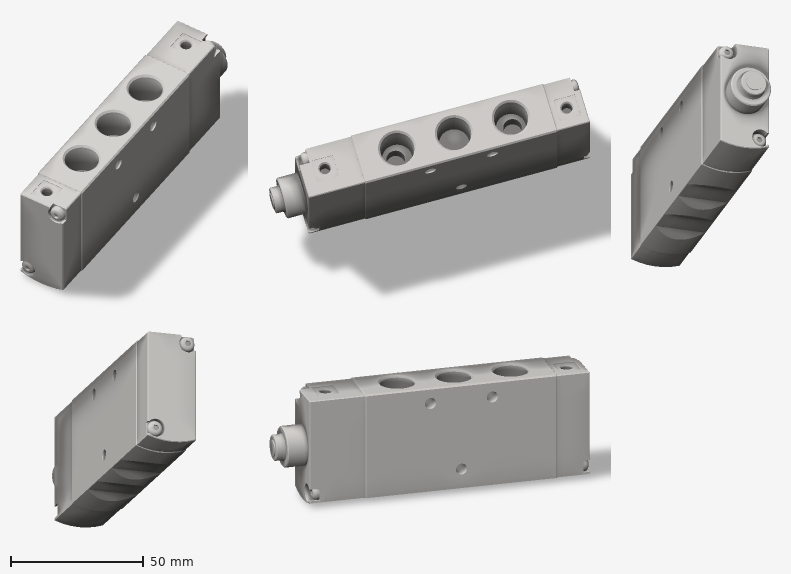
import cadquery as cq
import math


width = 20.0
height = 43.72
housing_length = 75.8
belly_sag = 1.95
edge_chamfer = 0.6
end_chamfer = 0.3

port_pitch = 22.4
port_bore = 13.0
port_floor_bore = 11.5
port_mouth = 14.5
port_depth = 12.0
passage_bore = 7.0
passage_depth = 6.0
passage_offset = 0.6

mount_bore = 4.4
mount_spacing = 24.4
upper_mount_z = -6.2
lower_mount_z = -34.1

relief_offset = 13.9
relief_depth = 1.85
relief_floor_length = 10.8
relief_mouth_length = 21.4

cover_inset = 0.35
cover_belly_sag = 1.7
cover_chamfer = 0.35
cover_face_chamfer = 0.3
rear_cover_length = 22.0
front_cover_length = 12.85

pilot_bore = 4.13
pilot_mouth = 5.2
pilot_depth = 6.0
pad_size = 8.6
pad_depth = 0.2
rear_pilot_from_end = 9.1
front_pilot_from_end = 6.85
rear_pilot_x = 0.0
front_pilot_x = -1.85

screw_x = 6.4
upper_screw_z = -3.6
lower_screw_z = -38.4
screw_recess_bore = 7.0
side_gap_height = 4.8
corner_margin = 2.6
recess_reach = 5.0
head_diameter = 5.93
head_height = 2.4
head_rim = 0.9
head_flat = 3.0
socket_size = 2.46
socket_depth = 1.0
rear_recess_depth = 4.1
front_recess_depth = head_height

connector_z = -21.35
collar_diameter = 15.9
collar_length = 8.0
collar_chamfer = 0.4
neck_diameter = 10.0
neck_root_diameter = 10.7
neck_root_length = 0.9
neck_length = 3.55
neck_chamfer = 0.3
tip_diameter = 6.3
overall_length = 122.6

housing_end = housing_length / 2
rear_face = housing_end + rear_cover_length
front_face = -housing_end - front_cover_length
tip_end = front_face + overall_length


def belly_block(inset, sag, chamfer, y_start, y_end):
    """Block along Y with a curved underside, its outline drawn in by the inset."""
    half = width / 2 - inset
    top = -inset
    bottom = -height + inset
    shoulder = bottom + sag
    outline = (
        cq.Workplane("XZ", origin=(0, y_end, 0))
        .moveTo(-half, shoulder)
        .threePointArc((0, bottom), (half, shoulder))
        .lineTo(half, top - chamfer)
        .lineTo(half - chamfer, top)
        .lineTo(-half + chamfer, top)
        .lineTo(-half, top - chamfer)
        .close()
    )
    return outline.extrude(y_end - y_start)


def bore_down(x, y, top, bore, floor_bore, mouth, depth):
    """Blind hole from the level top: a 45 degree countersink, then a bore that runs to its floor size."""
    countersink_depth = (mouth - bore) / 2
    profile = [
        (0, 0),
        (mouth / 2, 0),
        (bore / 2, -countersink_depth),
        (floor_bore / 2, -depth),
        (0, -depth),
    ]
    hole = cq.Workplane("XZ").polyline(profile).close().revolve(360, (0, 0), (0, 1))
    return hole.translate((x, y, top))


def port_row():
    """Three tapered ports from the top face; the outer two run on into narrower passages."""
    ports = cq.Workplane("XY")
    for place in (-1, 0, 1):
        port_y = place * port_pitch
        ports = ports.add(bore_down(0, port_y, 0, port_bore, port_floor_bore, port_mouth, port_depth))
        if place != 0:
            passage_y = port_y + place * passage_offset
            passage = cq.Workplane("XY", origin=(0, passage_y, -port_depth)).circle(passage_bore / 2)
            ports = ports.add(passage.extrude(-passage_depth))
    return ports.combine()


def mounting_holes():
    """Three holes along X, right through the housing."""
    centers = [
        (-mount_spacing / 2, upper_mount_z),
        (mount_spacing / 2, upper_mount_z),
        (0, lower_mount_z),
    ]
    return cq.Workplane("YZ").pushPoints(centers).circle(mount_bore / 2).extrude(width, both=True)


def belly_relief(middle):
    """Shallow recess across the underside, with sloping ends."""
    floor = -height + relief_depth
    outline = cq.Workplane("YZ").polyline([
        (middle - relief_mouth_length / 2, -height),
        (middle - relief_floor_length / 2, floor),
        (middle + relief_floor_length / 2, floor),
        (middle + relief_mouth_length / 2, -height),
    ])
    return outline.close().extrude(width, both=True)


def make_housing():
    """Middle block with its ports, mounting holes and underside recesses."""
    body = belly_block(0, belly_sag, edge_chamfer, -housing_end, housing_end)
    body = body.faces("<Y or >Y").chamfer(end_chamfer)
    body = body.cut(port_row()).cut(mounting_holes())
    for side in (-1, 1):
        body = body.cut(belly_relief(side * relief_offset))
    return body


def screw_head(x, z, seat_y, outward):
    """Domed head with a hexagon socket, standing on seat_y and facing along outward * Y."""
    rim_radius = head_diameter / 2
    flat_radius = head_flat / 2
    dome_height = head_height - head_rim
    blend = math.sqrt(0.5)
    dome_middle = (
        flat_radius + (rim_radius - flat_radius) * blend,
        head_rim + dome_height * blend,
    )
    head = (
        cq.Workplane("XY")
        .moveTo(0, 0)
        .lineTo(rim_radius, 0)
        .lineTo(rim_radius, head_rim)
        .threePointArc(dome_middle, (flat_radius, head_height))
        .lineTo(0, head_height)
        .close()
        .revolve(360, (0, 0), (0, 1))
    )
    socket = cq.Workplane("XZ", origin=(0, head_height, 0)).polygon(6, socket_size).extrude(socket_depth)
    head = head.cut(socket)
    if outward < 0:
        head = head.rotate((0, 0, 0), (0, 0, 1), 180)
    return head.translate((x, seat_y, z))


def side_recess(x, z, seat_y, depth):
    """Round recess from seat_y along Y, with a gap out through the -X side of the cover."""
    start = cq.Workplane("XZ", origin=(x, seat_y, z))
    bore = start.circle(screw_recess_bore / 2).extrude(-depth)
    gap = start.center(-recess_reach / 2, 0).rect(recess_reach, side_gap_height)
    return bore.union(gap.extrude(-depth))


def corner_recess(x, z, seat_y, depth):
    """Round recess from seat_y along Y, with the whole upper +X corner beyond it cut away."""
    start = cq.Workplane("XZ", origin=(x, seat_y, z))
    bore = start.circle(screw_recess_bore / 2).extrude(-depth)
    corner_size = corner_margin + recess_reach
    middle = corner_size / 2 - corner_margin
    corner = start.center(middle, middle).rect(corner_size, corner_size)
    return bore.union(corner.extrude(-depth))


def make_cover(outer_face, outward, recess_depth, pilot_x, pilot_from_end):
    """End cover with a pilot port on top and two screws in open recesses."""
    joint = outward * housing_end
    y_start, y_end = sorted((joint, outer_face))
    cover = belly_block(cover_inset, cover_belly_sag, cover_chamfer, y_start, y_end)
    cover = cover.faces(">Y" if outward > 0 else "<Y").chamfer(cover_face_chamfer)

    pilot_y = outer_face - outward * pilot_from_end
    pad_level = -cover_inset - pad_depth
    pad = cq.Workplane("XY", origin=(pilot_x, pilot_y, pad_level)).rect(pad_size, pad_size)
    cover = cover.cut(pad.extrude(pad_depth))
    pilot = bore_down(pilot_x, pilot_y, pad_level, pilot_bore, pilot_bore, pilot_mouth, pilot_depth)
    cover = cover.cut(pilot)

    seat_y = outer_face - outward * recess_depth
    signed_depth = outward * recess_depth
    cover = cover.cut(corner_recess(screw_x, upper_screw_z, seat_y, signed_depth))
    cover = cover.cut(side_recess(-screw_x, lower_screw_z, seat_y, signed_depth))
    for x, z in ((screw_x, upper_screw_z), (-screw_x, lower_screw_z)):
        cover = cover.union(screw_head(x, z, seat_y, outward))
    return cover


def make_connector():
    """Round plug standing on the outer face of the rear cover."""
    collar_end = rear_face + collar_length
    neck_end = collar_end + neck_length
    profile = [
        (rear_face, 0),
        (rear_face, collar_diameter / 2),
        (collar_end - collar_chamfer, collar_diameter / 2),
        (collar_end, collar_diameter / 2 - collar_chamfer),
        (collar_end, neck_root_diameter / 2),
        (collar_end + neck_root_length, neck_diameter / 2),
        (neck_end - neck_chamfer, neck_diameter / 2),
        (neck_end, neck_diameter / 2 - neck_chamfer),
        (neck_end, tip_diameter / 2),
        (tip_end, tip_diameter / 2),
        (tip_end, 0),
    ]
    plug = cq.Workplane("YZ").polyline(profile).close().revolve(360, (0, 0), (1, 0))
    return plug.translate((0, 0, connector_z))


housing = make_housing()
rear_cover = make_cover(rear_face, 1, rear_recess_depth, rear_pilot_x, rear_pilot_from_end)
front_cover = make_cover(front_face, -1, front_recess_depth, front_pilot_x, front_pilot_from_end)
connector = make_connector()

result = cq.Compound.makeCompound([
    housing.val(),
    rear_cover.val(),
    front_cover.val(),
    connector.val(),
])